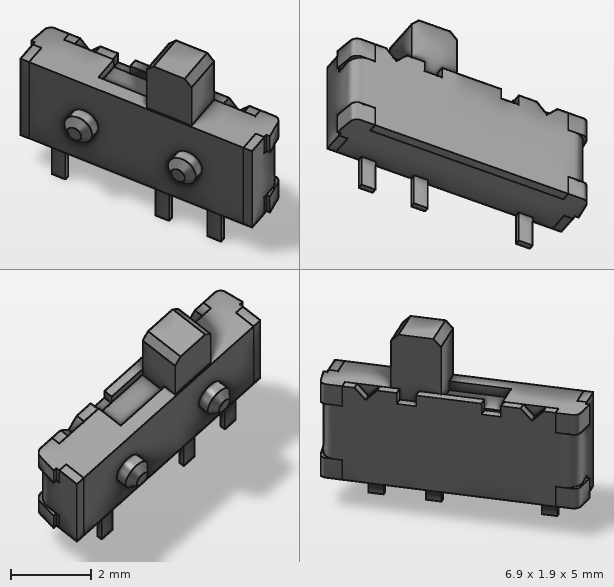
import cadquery as cq


housing_height = 2.6
housing_depth = 1.4
end_half_width = 3.35
top_z = housing_height / 2
bottom_z = -top_z

flange_half_width = 3.45
flange_start_y = 0.7
flange_thickness = 0.55
flange_corner_radius = 0.2

cover_thickness = 0.25
cover_bend_radius = 0.4
cover_side_full_height_y = 0.6
cover_back_half_width = 2.765
cover_band_height = housing_height - 2 * flange_thickness
cover_back_y = housing_depth - cover_thickness

tab_half_width = 0.85
notch_width = 0.5
notch_depth = 0.3
vee_center_x = 2.155
vee_half_width = 0.295
vee_depth = 0.3

knob_left_x = 0.275
knob_width = 1.3
knob_front_y = 0.04
knob_rise = 1.5
knob_chamfer = 0.2
pocket_left_x = -1.325
pocket_front_y = 0.395
pocket_depth = 0.25

peg_half_spacing = 1.5
peg_radius = 0.4
peg_length = 0.5
peg_chamfer = 0.2

terminal_centers_x = (-2.25, 0.75, 2.25)
terminal_width = 0.4
terminal_thickness = 0.15
terminal_length = 0.9


def box(x_min, x_max, y_min, y_max, z_min, z_max):
    """Box between the given limits."""
    return (
        cq.Workplane("XY", origin=(x_min, y_min, z_min))
        .box(x_max - x_min, y_max - y_min, z_max - z_min, centered=False)
    )


def wrap_block(half_width, back_y, corner_radius, height):
    """Block centred on Z = 0, with rounded upright edges at the back."""
    block = box(-half_width, half_width, 0, back_y, -height / 2, height / 2)
    return block.edges("|Z and >Y").fillet(corner_radius)


def make_cover():
    """U-shaped sheet: full height at the side ends and the back, a narrower band round the bends."""
    inner_half_width = end_half_width - cover_thickness
    inner_radius = cover_bend_radius - cover_thickness
    outer = wrap_block(end_half_width, housing_depth, cover_bend_radius, housing_height)
    inner = wrap_block(inner_half_width, cover_back_y, inner_radius, housing_height)
    sheet = outer.cut(inner)

    side_ends = box(
        -end_half_width, end_half_width, 0, cover_side_full_height_y, bottom_z, top_z
    )
    back = box(
        -cover_back_half_width, cover_back_half_width, cover_back_y, housing_depth, bottom_z, top_z
    )
    band = box(
        -end_half_width, end_half_width, 0, housing_depth,
        -cover_band_height / 2, cover_band_height / 2,
    )
    return sheet.intersect(side_ends.union(back).union(band))


def cut_cover_top(blank):
    """Notches beside the centre tab and a vee further out, on both halves of the back."""
    trimmed = blank
    for side in (-1, 1):
        notch_center_x = side * (tab_half_width + notch_width / 2)
        notch = box(
            notch_center_x - notch_width / 2, notch_center_x + notch_width / 2,
            cover_back_y, housing_depth, top_z - notch_depth, top_z,
        )
        vee_x = side * vee_center_x
        vee = (
            cq.Workplane("XZ", origin=(0, housing_depth, 0))
            .moveTo(vee_x - vee_half_width, top_z)
            .lineTo(vee_x, top_z - vee_depth)
            .lineTo(vee_x + vee_half_width, top_z)
            .close()
            .extrude(cover_thickness)
        )
        trimmed = trimmed.cut(notch).cut(vee)
    return trimmed


def make_housing_block():
    """Solid block with the outline of the flanges over its full height."""
    return (
        cq.Workplane("XY", origin=(0, 0, bottom_z))
        .moveTo(-end_half_width, 0)
        .lineTo(end_half_width, 0)
        .lineTo(end_half_width, flange_start_y)
        .lineTo(flange_half_width, flange_start_y)
        .lineTo(end_half_width, housing_depth)
        .lineTo(-end_half_width, housing_depth)
        .lineTo(-flange_half_width, flange_start_y)
        .lineTo(-end_half_width, flange_start_y)
        .close()
        .extrude(housing_height)
        .edges("|Z and >Y")
        .fillet(flange_corner_radius)
    )


def make_knob():
    """Knob standing on the pocket floor, with its two top side edges chamfered."""
    knob = box(
        knob_left_x, knob_left_x + knob_width, knob_front_y, cover_back_y,
        top_z - pocket_depth, top_z + knob_rise,
    )
    return knob.edges("|Y and >Z").chamfer(knob_chamfer)


def make_peg(center_x):
    """Round peg pointing forward, with a chamfered tip."""
    return (
        cq.Workplane("YZ", origin=(center_x, 0, 0))
        .lineTo(0, peg_radius)
        .lineTo(peg_chamfer - peg_length, peg_radius)
        .lineTo(-peg_length, peg_radius - peg_chamfer)
        .lineTo(-peg_length, 0)
        .close()
        .revolve(360, (0, 0, 0), (1, 0, 0))
    )


def make_housing(cover_blank):
    """Housing with its knob and pegs, recessed all round to take the cover."""
    outside_band = box(
        -flange_half_width, flange_half_width, 0, housing_depth,
        -cover_band_height / 2, cover_band_height / 2,
    )
    inside_cover = wrap_block(
        end_half_width, housing_depth, cover_bend_radius, cover_band_height
    )
    pocket = box(
        pocket_left_x, knob_left_x, pocket_front_y, cover_back_y, top_z - pocket_depth, top_z
    )
    body = (
        make_housing_block()
        .cut(outside_band.cut(inside_cover))
        .cut(cover_blank)
        .cut(pocket)
        .union(make_knob())
    )
    for side in (-1, 1):
        body = body.union(make_peg(side * peg_half_spacing))
    return body


def make_terminal(center_x):
    """Flat terminal below the housing, flush with its front face."""
    return box(
        center_x - terminal_width / 2, center_x + terminal_width / 2, 0, terminal_thickness,
        bottom_z - terminal_length, bottom_z,
    )


cover_blank = make_cover()
cover = cut_cover_top(cover_blank)
housing = make_housing(cover_blank)
terminals = [make_terminal(center_x).val() for center_x in terminal_centers_x]

result = cq.Compound.makeCompound([housing.val(), cover.val(), *terminals])